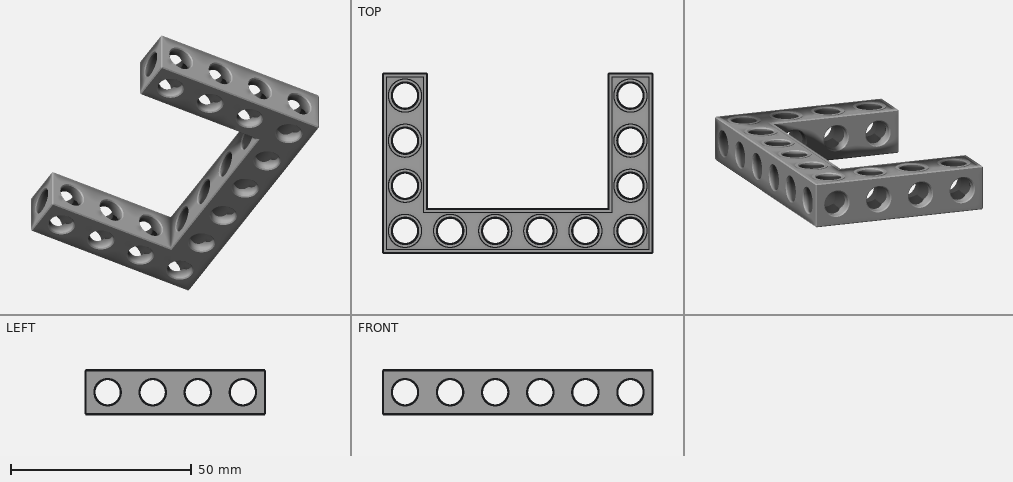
import cadquery as cq

pitch = 12.5
columns = 6
rows = 4
length_x = columns * pitch
length_y = rows * pitch
height = pitch
overlap = 1.0

edge_chamfer = 0.3
hole_diameter = 7.0
hole_chamfer = 0.3
land_width = 0.8
rim_width = edge_chamfer + land_width
collar_diameter = hole_diameter + 2 * (hole_chamfer + land_width)
recess_depth = 0.2

column_x = [(i - (columns - 1) / 2) * pitch for i in range(columns)]
row_y = [(j - (rows - 1) / 2) * pitch for j in range(rows)]
vertical_hole_points = [
    (x, y) for x in column_x for y in row_y
    if y == row_y[0] or x in (column_x[0], column_x[-1])
]


def u_outline(inset):
    """Closed U outline, open towards +Y, moved inwards by the inset."""
    outer_x = length_x / 2 - inset
    inner_x = length_x / 2 - pitch + inset
    bottom_y = -length_y / 2 + inset
    inner_y = -length_y / 2 + pitch - inset
    top_y = length_y / 2 - inset
    return cq.Workplane("XY").polyline([
        (-outer_x, bottom_y),
        (outer_x, bottom_y),
        (outer_x, top_y),
        (inner_x, top_y),
        (inner_x, inner_y),
        (-inner_x, inner_y),
        (-inner_x, top_y),
        (-outer_x, top_y),
    ]).close()


def chamfered_body():
    """U-shaped block with every edge broken except the two upright inside corners."""
    block = u_outline(0).extrude(height / 2, both=True)
    corner_x = length_x / 2 - pitch
    corner_y = -length_y / 2 + pitch
    inside_corners = cq.selectors.BoxSelector(
        (-corner_x - overlap, corner_y - overlap, -overlap),
        (corner_x + overlap, corner_y + overlap, overlap),
    )
    every_edge = cq.selectors.StringSyntaxSelector("#Z or |Z")
    return block.edges(every_edge - inside_corners).chamfer(edge_chamfer)


def top_recess():
    """Shallow panel inside the rim, leaving a collar around each vertical hole."""
    panel = u_outline(rim_width).extrude(recess_depth + overlap)
    collars = (
        cq.Workplane("XY")
        .pushPoints(vertical_hole_points)
        .circle(collar_diameter / 2)
        .extrude(recess_depth + overlap)
    )
    return panel.cut(collars).translate((0, 0, height / 2 - recess_depth))


def hole_cutter(start, direction, length):
    """Through hole along one axis, chamfered where it enters and leaves the wall."""
    start = cq.Vector(*start)
    direction = cq.Vector(*direction)
    radius = hole_diameter / 2
    mouth_radius = radius + hole_chamfer
    end = start + direction * length
    bore = cq.Solid.makeCylinder(radius, length, start, direction)
    entry = cq.Solid.makeCone(mouth_radius, radius, hole_chamfer, start, direction)
    leaving = cq.Solid.makeCone(mouth_radius, radius, hole_chamfer, end, direction * -1)
    return bore.fuse(entry, leaving)


def all_holes():
    """Cutters for the holes along Z, Y and X; those crossing the gap are split per arm."""
    cutters = []
    for x, y in vertical_hole_points:
        cutters.append(hole_cutter((x, y, -height / 2), (0, 0, 1), height))
    for x in column_x:
        in_arm = x in (column_x[0], column_x[-1])
        run = length_y if in_arm else pitch
        cutters.append(hole_cutter((x, -length_y / 2, 0), (0, 1, 0), run))
    cutters.append(hole_cutter((-length_x / 2, row_y[0], 0), (1, 0, 0), length_x))
    for y in row_y[1:]:
        for arm_start in (-length_x / 2, length_x / 2 - pitch):
            cutters.append(hole_cutter((arm_start, y, 0), (1, 0, 0), pitch))
    return cutters


result = chamfered_body().cut(top_recess())
for cutter in all_holes():
    result = result.cut(cq.Workplane(cutter))